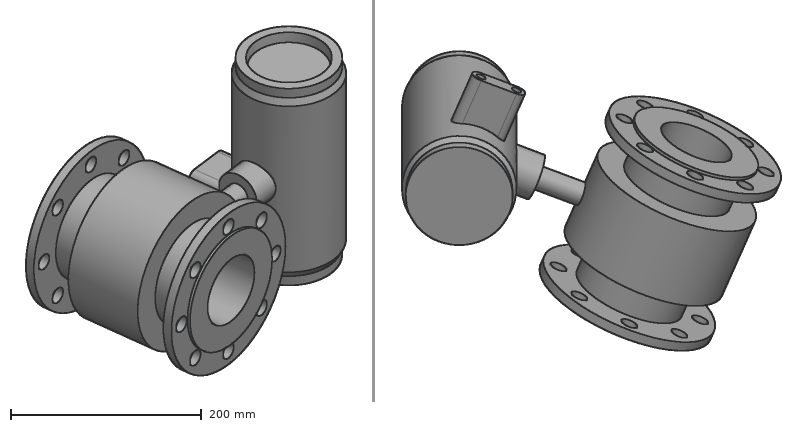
import cadquery as cq

TUBE_LENGTH = 200.2
BORE_DIAMETER = 80.0
NECK_DIAMETER = 120.0
COIL_DIAMETER = 179.8
COIL_WIDTH = 92.0

FLANGE_DIAMETER = 195.0
FLANGE_THICKNESS = 10.8
RAISED_FACE_DIAMETER = 140.0
RAISED_FACE_HEIGHT = 3.5
BOLT_CIRCLE_DIAMETER = 160.0
BOLT_HOLE_DIAMETER = 18.0
BOLT_COUNT = 8

OVERALL_DEPTH = 385.0
HOUSING_HEIGHT = 254.0
HOUSING_DIAMETER = 120.0
END_DIAMETER = 112.0
END_HEIGHT = 12.0
SHOULDER_HEIGHT = 8.0
HOUSING_Y = OVERALL_DEPTH - FLANGE_DIAMETER / 2 - HOUSING_DIAMETER / 2

WINDOW_RIM_DIAMETER = 90.0
WINDOW_FLOOR_DIAMETER = 87.0
WINDOW_DEPTH = 12.0

STEM_DIAMETER = 25.8
COLLAR_DIAMETER = 50.0
COLLAR_REACH = 87.0

LUG_REACH = 109.7
LUG_WIDTH = 60.0
LUG_HEIGHT = 20.0
LUG_Z = -64.3
CABLE_HOLE_DIAMETER = 10.5


def x_cylinder(diameter, length):
    """Cylinder on the tube axis, centred on the origin."""
    return cq.Workplane("YZ", origin=(-length / 2, 0, 0)).circle(diameter / 2).extrude(length)


def y_cylinder(diameter, start, end):
    """Cylinder along Y between two Y positions."""
    return cq.Workplane("XZ", origin=(0, start, 0)).circle(diameter / 2).extrude(start - end)


def make_flange(side):
    """Drilled flange at the -X (side = -1) or +X (side = 1) end of the tube."""
    center_x = side * (TUBE_LENGTH / 2 - RAISED_FACE_HEIGHT - FLANGE_THICKNESS / 2)
    flange = x_cylinder(FLANGE_DIAMETER, FLANGE_THICKNESS)
    bolt_holes = (
        cq.Workplane("YZ", origin=(-FLANGE_THICKNESS / 2, 0, 0))
        .polarArray(BOLT_CIRCLE_DIAMETER / 2, 0, 360, BOLT_COUNT)
        .circle(BOLT_HOLE_DIAMETER / 2)
        .extrude(FLANGE_THICKNESS)
    )
    return flange.cut(bolt_holes).translate((center_x, 0, 0))


def make_flow_tube():
    """Neck, coil case, flanges and raised faces, before boring."""
    neck_length = TUBE_LENGTH - 2 * RAISED_FACE_HEIGHT - FLANGE_THICKNESS
    tube = x_cylinder(NECK_DIAMETER, neck_length).union(x_cylinder(COIL_DIAMETER, COIL_WIDTH))
    for side in (-1, 1):
        raised_face = x_cylinder(RAISED_FACE_DIAMETER, RAISED_FACE_HEIGHT)
        raised_face = raised_face.translate((side * (TUBE_LENGTH - RAISED_FACE_HEIGHT) / 2, 0, 0))
        tube = tube.union(make_flange(side)).union(raised_face)
    return tube


def make_housing():
    """Stepped cylinder with coned shoulders and the window recess in its top."""
    top = HOUSING_HEIGHT / 2
    end_base = top - END_HEIGHT
    shoulder_base = end_base - SHOULDER_HEIGHT
    window_floor = top - WINDOW_DEPTH
    profile = [
        (0, -top),
        (END_DIAMETER / 2, -top),
        (END_DIAMETER / 2, -end_base),
        (HOUSING_DIAMETER / 2, -shoulder_base),
        (HOUSING_DIAMETER / 2, shoulder_base),
        (END_DIAMETER / 2, end_base),
        (END_DIAMETER / 2, top),
        (WINDOW_RIM_DIAMETER / 2, top),
        (WINDOW_FLOOR_DIAMETER / 2, window_floor),
        (0, window_floor),
    ]
    housing = cq.Workplane("XZ").polyline(profile).close().revolve(360, (0, 0), (0, 1))
    return housing.translate((0, HOUSING_Y, 0))


def make_lug():
    """Round-ended bar with two cable holes that stop at the housing wall."""
    face = cq.Workplane("YZ", origin=(-LUG_REACH, HOUSING_Y, LUG_Z))
    hole_spacing = LUG_WIDTH - LUG_HEIGHT
    bar = face.slot2D(LUG_WIDTH, LUG_HEIGHT).extrude(LUG_REACH)
    holes = (
        face.pushPoints([(-hole_spacing / 2, 0), (hole_spacing / 2, 0)])
        .circle(CABLE_HOLE_DIAMETER / 2)
        .extrude(LUG_REACH)
    )
    return bar.cut(holes)


stem = y_cylinder(STEM_DIAMETER, 0, HOUSING_Y)
collar = y_cylinder(COLLAR_DIAMETER, HOUSING_Y - COLLAR_REACH, HOUSING_Y)
body = make_flow_tube().union(stem).union(collar).union(make_lug()).union(make_housing())

result = body.cut(x_cylinder(BORE_DIAMETER, TUBE_LENGTH))